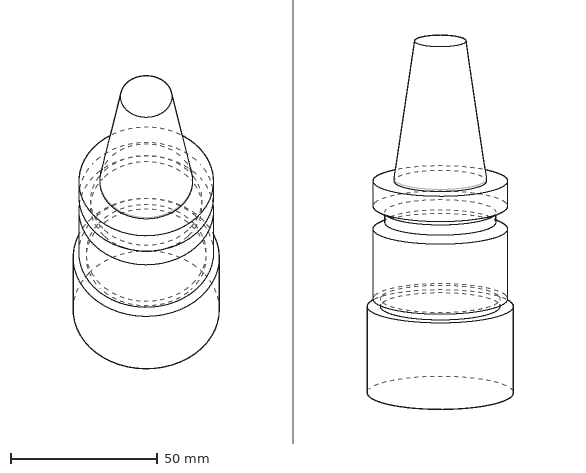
import cadquery as cq

TOTAL_HEIGHT = 123.4
NUT_HEIGHT = 30.4
NECK_TOP = 33.0
BODY_EDGE = 57.5
GROOVE_BOTTOM = 59.7
GROOVE_TOP = 63.3
FLANGE_EDGE = 65.4
FLANGE_TOP = 74.3
TAPER_BOTTOM = 75.0

NUT_DIAMETER = 50.0
NECK_DIAMETER = 41.0
BODY_DIAMETER = 46.0
GROOVE_DIAMETER = 38.0
GAUGE_DIAMETER = 31.7
TAPER_TOP_DIAMETER = 17.6


def make_nut():
    """Plain cylindrical clamping nut below the holder."""
    return cq.Workplane("XY").circle(NUT_DIAMETER / 2).extrude(NUT_HEIGHT)


def make_holder():
    """Tool holder turned about Z: neck, body, gripper groove, flange and tapered shank."""
    neck_radius = NECK_DIAMETER / 2
    body_radius = BODY_DIAMETER / 2
    groove_radius = GROOVE_DIAMETER / 2
    gauge_radius = GAUGE_DIAMETER / 2
    half_profile = [
        (0, NUT_HEIGHT),
        (neck_radius, NUT_HEIGHT),
        (neck_radius, NECK_TOP),
        (body_radius, NECK_TOP),
        (body_radius, BODY_EDGE),
        (groove_radius, GROOVE_BOTTOM),
        (groove_radius, GROOVE_TOP),
        (body_radius, FLANGE_EDGE),
        (body_radius, FLANGE_TOP),
        (gauge_radius, FLANGE_TOP),
        (gauge_radius, TAPER_BOTTOM),
        (TAPER_TOP_DIAMETER / 2, TOTAL_HEIGHT),
        (0, TOTAL_HEIGHT),
    ]
    return cq.Workplane("XZ").polyline(half_profile).close().revolve(360, (0, 0), (0, 1))


nut = make_nut()
holder = make_holder()

result = cq.Compound.makeCompound([nut.val(), holder.val()])